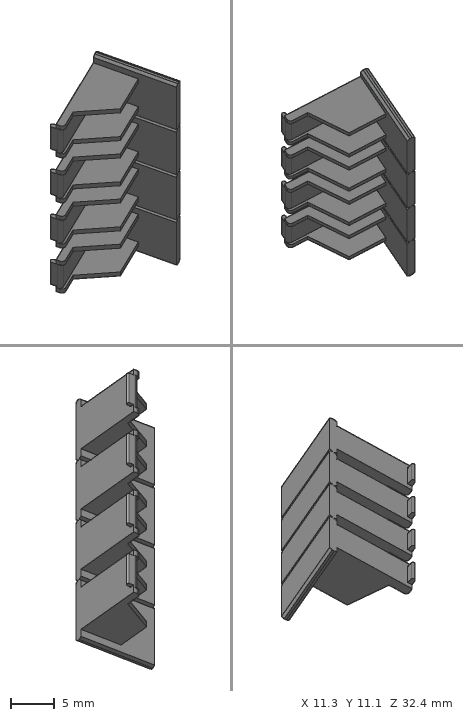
import cadquery as cq
import math


total_height = 32.4
clip_count = 4
pitch = total_height / clip_count

plate_width = 10.5
plate_thickness = 1.0
bevel_depth = 0.35
bevel_height = 0.243

reach = 11.1
body_inset = 1.2
body_height = pitch - 2 * body_inset
wall_thickness = 0.7
gusset_thickness = 0.7
gusset_width = 5.7
finger_width = 1.0
finger_length = 2.5
gusset_angle = 30.0
tip_radius = 0.52

catch_length = 4.0
catch_rise = 0.1
catch_projection = 0.8
catch_radius = 0.243
catch_angle = 12.0


def back_plate():
    """One pitch of the plate, centred on Z = 0."""
    half_pitch = pitch / 2
    shoulder = half_pitch - bevel_height
    front = -plate_thickness
    outline = [
        (0, -shoulder),
        (-bevel_depth, -half_pitch),
        (front + bevel_depth, -half_pitch),
        (front, -shoulder),
        (front, shoulder),
        (front + bevel_depth, half_pitch),
        (-bevel_depth, half_pitch),
        (0, shoulder),
    ]
    return cq.Workplane("YZ").polyline(outline).close().extrude(plate_width)


def end_rounded_outline(tip_width, inner_points, bottom):
    """Outline from the plate to a free end of the given width, rounded on its inner corner."""
    arc_center_x = tip_width - tip_radius
    arc_center_y = tip_radius - reach
    diagonal = tip_radius * math.sqrt(0.5)
    return (
        cq.Workplane("XY")
        .workplane(offset=bottom)
        .polyline([(0, 0)] + inner_points + [(tip_width, arc_center_y)])
        .threePointArc((arc_center_x + diagonal, arc_center_y - diagonal), (arc_center_x, -reach))
        .lineTo(0, -reach)
        .close()
    )


def wall():
    """Thin wall spanning the full body height."""
    outline = end_rounded_outline(wall_thickness, [(wall_thickness, 0)], -body_height / 2)
    return outline.extrude(body_height)


def gusset(bottom):
    """Flat web from the plate to the free end, narrowing to a finger along a slope."""
    slope_drop = (gusset_width - finger_width) * math.tan(math.radians(gusset_angle))
    finger_root = finger_length - reach
    inner_points = [
        (gusset_width, 0),
        (gusset_width, finger_root + slope_drop),
        (finger_width, finger_root),
    ]
    return end_rounded_outline(finger_width, inner_points, bottom).extrude(gusset_thickness)


def catch():
    """Lip on the outer side of the wall, with a sloped back and a fully rounded tip."""
    angle = math.radians(catch_angle)
    center_x = catch_radius - catch_projection
    center_y = catch_radius - reach
    slope_end_x = center_x - catch_radius * math.sin(angle)
    slope_end_y = center_y + catch_radius * math.cos(angle)
    root_y = slope_end_y - slope_end_x * math.tan(angle)
    return (
        cq.Workplane("XY")
        .workplane(offset=catch_rise - catch_length / 2)
        .moveTo(0, -reach)
        .lineTo(center_x, -reach)
        .threePointArc((-catch_projection, center_y), (slope_end_x, slope_end_y))
        .lineTo(0, root_y)
        .close()
        .extrude(catch_length)
    )


def clip():
    """One complete clip, centred on Z = 0."""
    half_body = body_height / 2
    body = back_plate().union(wall())
    for gusset_bottom in (-half_body, half_body - gusset_thickness):
        body = body.union(gusset(gusset_bottom))
    return body.union(catch())


single_clip = clip()
lowest_center = (pitch - total_height) / 2
result = single_clip.translate((0, 0, lowest_center))
for index in range(1, clip_count):
    result = result.union(single_clip.translate((0, 0, lowest_center + index * pitch)))